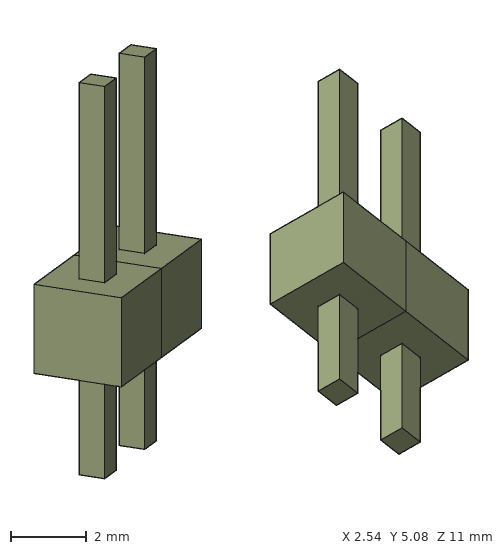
import cadquery as cq

pitch = 2.54
pin_count = 2
housing_side = pitch
housing_height = 2.5
pin_width = 0.742
pin_above = 5.5
pin_below = 3.0

pin_length = pin_below + housing_height + pin_above


def make_pin(y):
    """Straight square pin passing through the housing centred at y."""
    return (
        cq.Workplane("XY", origin=(0, y, -pin_below))
        .rect(pin_width, pin_width)
        .extrude(pin_length)
    )


def make_housing(y):
    """Insulator block standing on Z = 0, with a square through hole for its pin."""
    return (
        cq.Workplane("XY", origin=(0, y, 0))
        .rect(housing_side, housing_side)
        .rect(pin_width, pin_width)
        .extrude(housing_height)
    )


bodies = []
for index in range(pin_count):
    y_position = (index - (pin_count - 1) / 2) * pitch
    housing = make_housing(y_position)
    pin = make_pin(y_position)
    bodies.append(housing.val())
    bodies.append(pin.val())

result = cq.Compound.makeCompound(bodies)